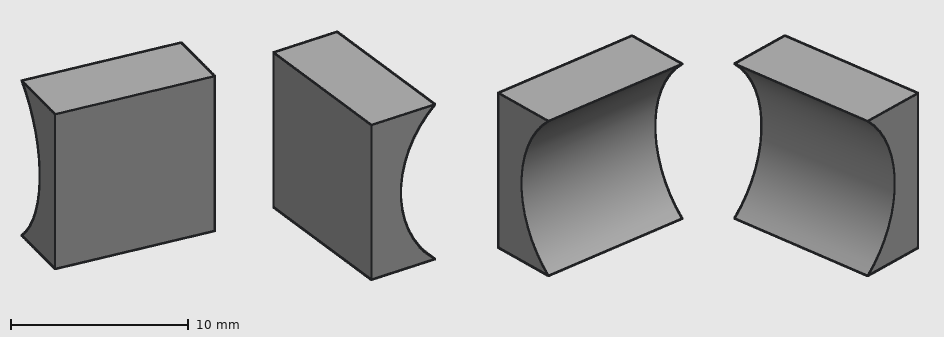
import cadquery as cq

depth = 4.31
length = 10.0
height = 10.0

wall = 2.0

back_x = depth / 2
tip_x = -depth / 2
half_height = height / 2

profile = (
    cq.Workplane("XZ")
    .moveTo(tip_x, -half_height)
    .lineTo(back_x, -half_height)
    .lineTo(back_x, half_height)
    .lineTo(tip_x, half_height)
    .threePointArc((back_x - wall, 0), (tip_x, -half_height))
    .close()
)

result = profile.extrude(length / 2, both=True)